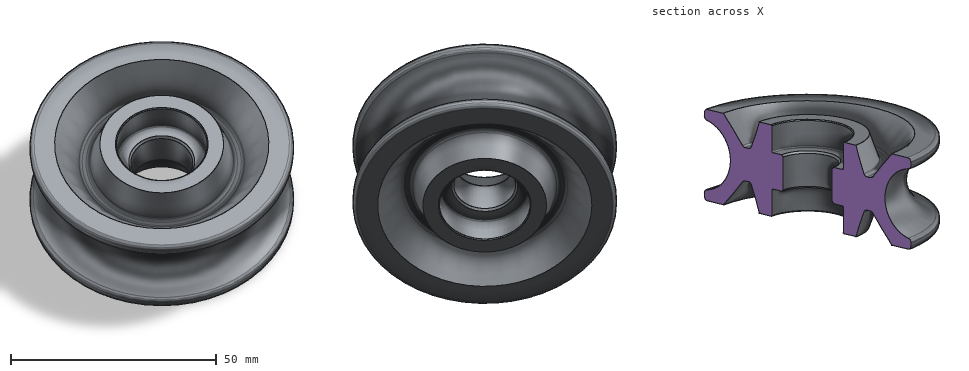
import cadquery as cq
import math

outer_radius = 32.0
width = 23.4
half_width = width / 2

groove_arc_radius = 9.0
groove_bottom_radius = 24.0
groove_center_radius = groove_bottom_radius + groove_arc_radius
rim_fillet = 1.0

pocket_outer_radius = 26.0
hub_face_radius = 15.0
pocket_depth = 7.4
rim_wall_angle = 40.0
hub_wall_angle = 20.0
pocket_fillet = 1.0

seat_radius = 11.0
seat_depth = 7.0
seat_mouth_chamfer = 0.25
seat_corner_fillet = 0.3

bore_radius = 7.5
bore_chamfer = 0.5


def revolve_profile(profile):
    """Turn a closed profile, drawn as (radius, z), around the Z axis."""
    return profile.close().revolve(360, (0, 0, 0), (0, 1, 0))


def make_grooved_wheel():
    """Solid wheel with the round rope groove and rounded rim edges."""
    blank = cq.Workplane("XY").circle(outer_radius).extrude(half_width, both=True)
    groove = (
        cq.Workplane("XZ")
        .center(groove_center_radius, 0)
        .circle(groove_arc_radius)
        .revolve(360, (-groove_center_radius, 0, 0), (-groove_center_radius, 1, 0))
    )
    return blank.cut(groove).faces("%CYLINDER").edges("%CIRCLE").fillet(rim_fillet)


def make_pocket():
    """Ring-shaped pocket in the +Z face, with sloping walls and a rounded floor."""
    floor_z = half_width - pocket_depth
    floor_inner_radius = hub_face_radius + pocket_depth * math.tan(math.radians(hub_wall_angle))
    floor_outer_radius = pocket_outer_radius - pocket_depth * math.tan(math.radians(rim_wall_angle))
    pocket = revolve_profile(
        cq.Workplane("XZ")
        .moveTo(hub_face_radius, half_width)
        .lineTo(floor_inner_radius, floor_z)
        .lineTo(floor_outer_radius, floor_z)
        .lineTo(pocket_outer_radius, half_width)
    )
    return pocket.faces("<Z").edges().fillet(pocket_fillet)


def make_bearing_seat():
    """Seat in the +Z face, chamfered at its mouth, with a rounded inner corner."""
    seat_floor_z = half_width - seat_depth
    seat = cq.Workplane("XY", origin=(0, 0, seat_floor_z)).circle(seat_radius).extrude(seat_depth)
    seat = seat.faces("<Z").edges().fillet(seat_corner_fillet)
    mouth = revolve_profile(
        cq.Workplane("XZ")
        .moveTo(0, half_width)
        .lineTo(seat_radius + seat_mouth_chamfer, half_width)
        .lineTo(seat_radius, half_width - seat_mouth_chamfer)
        .lineTo(0, half_width - seat_mouth_chamfer)
    )
    return seat.union(mouth)


def make_bore():
    """Through bore that widens by a chamfer where it opens into each seat."""
    seat_floor_z = half_width - seat_depth
    upper_half = revolve_profile(
        cq.Workplane("XZ")
        .moveTo(0, 0)
        .lineTo(bore_radius, 0)
        .lineTo(bore_radius, seat_floor_z - bore_chamfer)
        .lineTo(bore_radius + bore_chamfer, seat_floor_z)
        .lineTo(0, seat_floor_z)
    )
    return upper_half.union(upper_half.mirror("XY"))


result = make_grooved_wheel().cut(make_bore())
for side_cut in (make_pocket(), make_bearing_seat()):
    result = result.cut(side_cut).cut(side_cut.mirror("XY"))